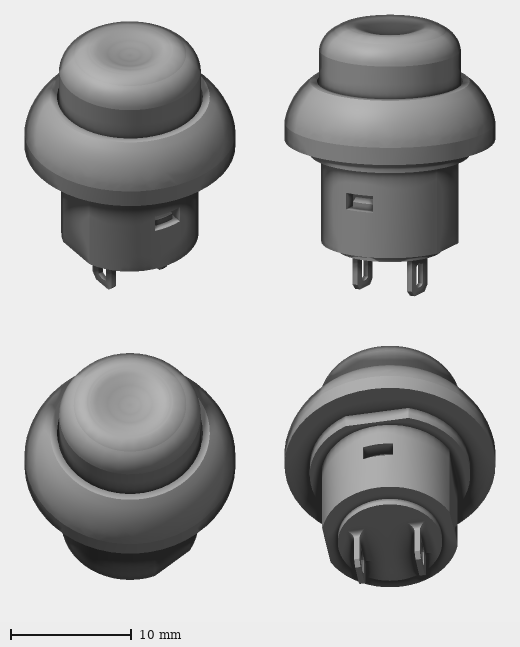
import cadquery as cq
import math

LUG_FILLET_START = 2.98
PLUG_BOTTOM = 3.5
BODY_BOTTOM = 4.18
COLLAR_BOTTOM = 11.7
BEZEL_BOTTOM = 12.93
BEZEL_SHOULDER = 14.4
BEZEL_TOP = 17.88
CAP_SHOULDER = 20.6
CROWN_EDGE = 22.22
TOTAL_HEIGHT = 22.6

PLUG_DIAMETER = 8.65
BODY_DIAMETER = 11.4
COLLAR_DIAMETER = 13.31
BEZEL_DIAMETER = 17.5
BEZEL_TOP_DIAMETER = 13.25
BEZEL_BORE_DIAMETER = 12.1
CAP_DIAMETER = 11.75

BEZEL_FLANK_SAGITTA = 0.38
CAP_FLANK_SAGITTA = 0.25

CROWN_DIAMETER = 9.33
CROWN_RING_OUTER_DIAMETER = 7.15
CROWN_RING_INNER_DIAMETER = 6.6
DISH_DIAMETER = 5.5

BODY_FLAT_WIDTH = 3.86
COLLAR_FLAT_DISTANCE = 6.1

WINDOW_WIDTH = 2.5
WINDOW_BOTTOM = 8.02
WINDOW_TOP = 9.45
WINDOW_FLOOR_DIAMETER = 9.0
LATCH_WIDTH = 1.83
LATCH_TOP = 8.88
LATCH_FACE_TOP = 8.57
LATCH_DIAMETER = 10.03

LUG_WIDTH = 2.82
LUG_THICKNESS = 0.45
LUG_SPACING = 5.08
LUG_CHAMFER = 0.5
EYELET_WIDTH = 1.15
EYELET_LENGTH = 2.05
EYELET_HEIGHT = 1.6


def disc(diameter, bottom, top):
    """Upright cylinder on the Z axis between two levels."""
    return cq.Workplane("XY").workplane(offset=bottom).circle(diameter / 2).extrude(top - bottom)


def centred_box(size_x, size_y, bottom, top):
    """Box centred on the Z axis between two levels."""
    return cq.Workplane("XY").workplane(offset=bottom).rect(size_x, size_y).extrude(top - bottom)


def make_bezel():
    """Bezel ring with a rounded flank, open above its shoulder for the push cap."""
    return (
        cq.Workplane("XZ")
        .moveTo(0, BEZEL_BOTTOM)
        .lineTo(BEZEL_DIAMETER / 2, BEZEL_BOTTOM)
        .lineTo(BEZEL_DIAMETER / 2, BEZEL_SHOULDER)
        .sagittaArc((BEZEL_TOP_DIAMETER / 2, BEZEL_TOP), -BEZEL_FLANK_SAGITTA)
        .lineTo(BEZEL_BORE_DIAMETER / 2, BEZEL_TOP)
        .lineTo(BEZEL_BORE_DIAMETER / 2, BEZEL_SHOULDER)
        .lineTo(0, BEZEL_SHOULDER)
        .close()
        .revolve(360, (0, 0), (0, 1))
    )


def make_cap():
    """Push cap: rounded shoulder, flat ring on the crown and a spherical dish inside the ring."""
    crown_radius = CROWN_DIAMETER / 2
    ring_outer = CROWN_RING_OUTER_DIAMETER / 2
    ring_inner = CROWN_RING_INNER_DIAMETER / 2
    dish_rim = DISH_DIAMETER / 2

    run = crown_radius - ring_outer
    drop = TOTAL_HEIGHT - CROWN_EDGE
    round_radius = (run**2 + drop**2) / (2 * drop)
    half_angle = math.asin(run / round_radius) / 2
    round_middle = (
        ring_outer + round_radius * math.sin(half_angle),
        TOTAL_HEIGHT - round_radius * (1 - math.cos(half_angle)),
    )

    rim_angle = math.asin((ring_inner - dish_rim) / round_radius)
    rim_level = TOTAL_HEIGHT - round_radius * (1 - math.cos(rim_angle))
    rim_middle = (
        ring_inner - round_radius * math.sin(rim_angle / 2),
        TOTAL_HEIGHT - round_radius * (1 - math.cos(rim_angle / 2)),
    )
    sphere_radius = dish_rim / math.sin(rim_angle)
    dish_bottom = rim_level - sphere_radius * (1 - math.cos(rim_angle))
    dish_middle = (
        sphere_radius * math.sin(rim_angle / 2),
        dish_bottom + sphere_radius * (1 - math.cos(rim_angle / 2)),
    )

    return (
        cq.Workplane("XZ")
        .moveTo(0, BEZEL_SHOULDER)
        .lineTo(0, dish_bottom)
        .threePointArc(dish_middle, (dish_rim, rim_level))
        .threePointArc(rim_middle, (ring_inner, TOTAL_HEIGHT))
        .lineTo(ring_outer, TOTAL_HEIGHT)
        .threePointArc(round_middle, (crown_radius, CROWN_EDGE))
        .sagittaArc((CAP_DIAMETER / 2, CAP_SHOULDER), CAP_FLANK_SAGITTA)
        .lineTo(CAP_DIAMETER / 2, BEZEL_SHOULDER)
        .close()
        .revolve(360, (0, 0), (0, 1))
    )


def make_collar():
    """Collar under the bezel with one flat on the +X side."""
    flat_centre = COLLAR_FLAT_DISTANCE - COLLAR_DIAMETER / 2
    envelope = centred_box(COLLAR_DIAMETER, COLLAR_DIAMETER, COLLAR_BOTTOM, BEZEL_BOTTOM)
    envelope = envelope.translate((flat_centre, 0, 0))
    return disc(COLLAR_DIAMETER, COLLAR_BOTTOM, BEZEL_BOTTOM).intersect(envelope)


def make_latches():
    """Pair of curved latches with sloped tops, seated on the window floors."""
    outer = LATCH_DIAMETER / 2
    inner = WINDOW_FLOOR_DIAMETER / 2
    ring = (
        cq.Workplane("XZ")
        .moveTo(0, WINDOW_BOTTOM)
        .lineTo(outer, WINDOW_BOTTOM)
        .lineTo(outer, LATCH_FACE_TOP)
        .lineTo(inner, LATCH_TOP)
        .lineTo(0, LATCH_TOP)
        .close()
        .revolve(360, (0, 0), (0, 1))
    )
    return ring.intersect(centred_box(BODY_DIAMETER, LATCH_WIDTH, WINDOW_BOTTOM, LATCH_TOP))


def make_body():
    """Round body with flats on -Y and +Y and a latch window on -X and +X."""
    flat_distance = math.sqrt((BODY_DIAMETER / 2) ** 2 - (BODY_FLAT_WIDTH / 2) ** 2)
    body = disc(BODY_DIAMETER, BODY_BOTTOM, COLLAR_BOTTOM)
    body = body.intersect(centred_box(BODY_DIAMETER, 2 * flat_distance, BODY_BOTTOM, COLLAR_BOTTOM))

    windows = centred_box(BODY_DIAMETER, WINDOW_WIDTH, WINDOW_BOTTOM, WINDOW_TOP)
    windows = windows.cut(disc(WINDOW_FLOOR_DIAMETER, WINDOW_BOTTOM, WINDOW_TOP))
    return body.cut(windows).union(make_latches())


def make_lug():
    """Flat solder lug in the XZ plane with chamfered tip corners and a round-ended eyelet."""
    lug = centred_box(LUG_WIDTH, LUG_THICKNESS, 0, PLUG_BOTTOM)
    lug = lug.faces("<Z").edges("|Y").chamfer(LUG_CHAMFER)
    eyelet = (
        cq.Workplane("XZ")
        .center(0, EYELET_HEIGHT)
        .circle(EYELET_LENGTH / 2)
        .extrude(LUG_THICKNESS, both=True)
        .intersect(centred_box(EYELET_WIDTH, LUG_THICKNESS, 0, PLUG_BOTTOM))
    )
    return lug.cut(eyelet)


def make_plug():
    """Plug below the body carrying both lugs, filleted around their roots."""
    plug = disc(PLUG_DIAMETER, PLUG_BOTTOM, BODY_BOTTOM)
    for side in (-1, 1):
        plug = plug.union(make_lug().translate((0, side * LUG_SPACING / 2, 0)))
    root_edges = cq.selectors.BoxSelector(
        (-LUG_WIDTH, -LUG_SPACING / 2 - LUG_THICKNESS, PLUG_BOTTOM - LUG_THICKNESS / 2),
        (LUG_WIDTH, LUG_SPACING / 2 + LUG_THICKNESS, PLUG_BOTTOM + LUG_THICKNESS / 2),
    )
    return plug.edges("not %CIRCLE").edges(root_edges).fillet(PLUG_BOTTOM - LUG_FILLET_START)


result = (
    make_plug()
    .union(make_body())
    .union(make_collar())
    .union(make_bezel())
    .union(make_cap())
)